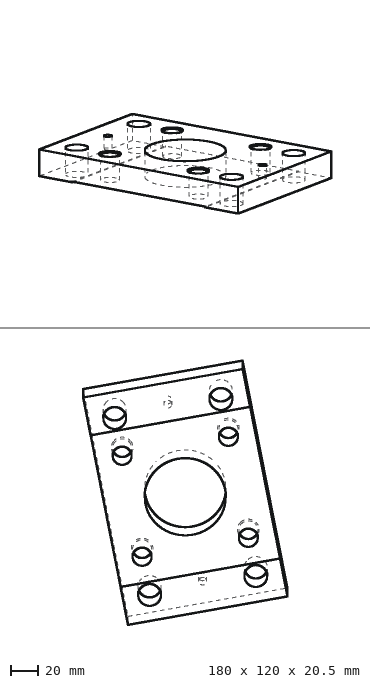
import cadquery as cq

length = 180.0
width = length * 2 / 3
thickness = 20.5

relief_length = width
relief_depth = 0.5

bore_diameter = length / 3

corner_hole_diameter = 17.0
corner_hole_x = 70.0
hole_row_y = 40.0

bolt_hole_diameter = 14.0
bolt_mouth_diameter = 16.0
bolt_hole_x = hole_row_y
bolt_chamfer = (bolt_mouth_diameter - bolt_hole_diameter) / 2

dowel_diameter = 6.0
dowel_depth = 10.0


def four_corners(x, y):
    """Points mirrored about both centre lines."""
    return [(side_x * x, side_y * y) for side_x in (-1, 1) for side_y in (-1, 1)]


def plate():
    body = cq.Workplane("XY").box(length, width, thickness, centered=(True, True, False))
    relief = cq.Workplane("XY").box(relief_length, width, relief_depth, centered=(True, True, False))
    return body.cut(relief)


def through_holes(points, diameter):
    return cq.Workplane("XY").pushPoints(points).circle(diameter / 2).extrude(thickness)


def bolt_hole_mouths(points):
    """Cones that widen upwards to the top face at 45 degrees."""
    mouth_radius = bolt_mouth_diameter / 2
    top = cq.Workplane("XY").workplane(offset=thickness)
    return top.pushPoints(points).circle(mouth_radius).extrude(-bolt_chamfer, taper=45)


def dowel_holes():
    points = [(-corner_hole_x, 0), (corner_hole_x, 0)]
    top = cq.Workplane("XY").workplane(offset=thickness)
    return top.pushPoints(points).circle(dowel_diameter / 2).extrude(-dowel_depth)


corner_points = four_corners(corner_hole_x, hole_row_y)
bolt_points = four_corners(bolt_hole_x, hole_row_y)

result = (
    plate()
    .cut(through_holes([(0, 0)], bore_diameter))
    .cut(through_holes(corner_points, corner_hole_diameter))
    .cut(through_holes(bolt_points, bolt_hole_diameter))
    .cut(bolt_hole_mouths(bolt_points))
    .cut(dowel_holes())
)